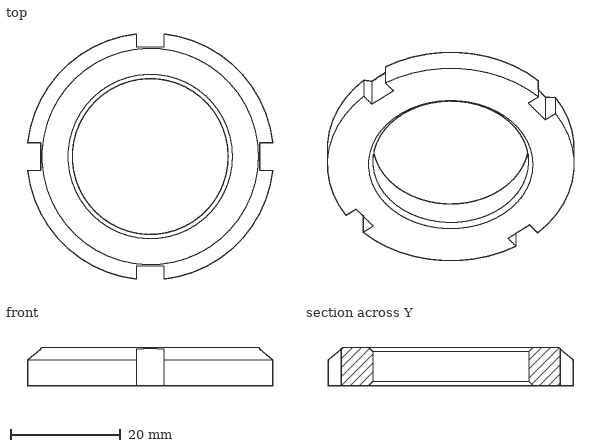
import cadquery as cq
import math

span = 44.7
height = 7.0
slot_width = 5.0
slot_floor_distance = 20.0
slot_count = 4

outer_radius = math.hypot(span / 2, slot_width / 2)
top_face_radius = 19.7
rim_chamfer = 2.33

bore_radius = 14.18
bore_chamfer = 0.8


def ring_body():
    """Revolve the ring section, with its sloped rim and chamfered bore."""
    section = [
        (bore_radius + bore_chamfer, 0),
        (outer_radius, 0),
        (outer_radius, height - rim_chamfer),
        (top_face_radius, height),
        (bore_radius + bore_chamfer, height),
        (bore_radius, height - bore_chamfer),
        (bore_radius, bore_chamfer),
    ]
    return cq.Workplane("XZ").polyline(section).close().revolve(360, (0, 0), (0, 1))


def spanner_slots():
    """Full-height cutters for the evenly spaced slots in the rim."""
    cutter_length = outer_radius
    return (
        cq.Workplane("XY")
        .polarArray(slot_floor_distance + cutter_length / 2, 0, 360, slot_count)
        .rect(cutter_length, slot_width)
        .extrude(height)
    )


result = ring_body().cut(spanner_slots())